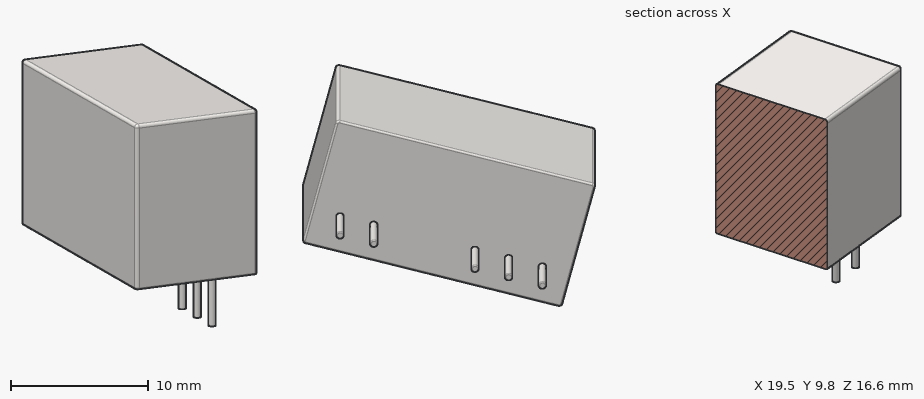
import cadquery as cq

length = 19.5
width = 9.8
total_height = 16.6
pin_length = 4.1
case_height = total_height - pin_length
edge_radius = 0.25
bottom_edge_radius = 0.15

pin_diameter = 0.57
pin_pitch = 2.54
pin_row_y = 2.25
pin_grid_steps = (-3, -2, 1, 2, 3)
pin_tip_radius = 0.08
pin_embed = 0.39


def make_case():
    box = cq.Workplane("XY").box(length, width, case_height, centered=(True, True, False))
    box = box.edges("|Z or >Z").fillet(edge_radius)
    return box.faces("<Z").edges().fillet(bottom_edge_radius)


def make_pin(x):
    pin = (
        cq.Workplane("XY", origin=(x, pin_row_y, -pin_length))
        .circle(pin_diameter / 2)
        .extrude(pin_length + pin_embed)
    )
    return pin.faces("<Z").edges().fillet(pin_tip_radius)


result = make_case()
for step in pin_grid_steps:
    result = result.union(make_pin(step * pin_pitch))